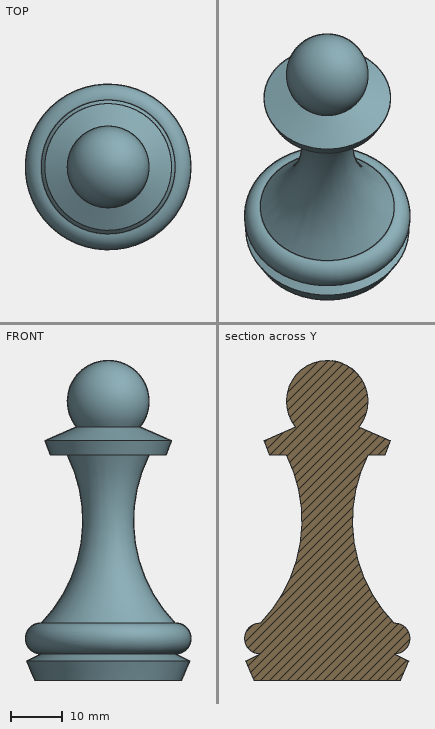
import cadquery as cq
import math

total_height = 61.7
base_rim_height = 3.75
ring_bottom = 5.1
ring_top = 11.1
waist_height = 31.8
collar_bottom = 43.45
collar_rim_height = 46.2
collar_top = 48.9

base_bottom_radius = 14.15
base_rim_radius = 15.75
ring_outer_radius = 16.0
stem_bottom_radius = 12.9
waist_radius = 4.95
stem_top_radius = 7.9
collar_bottom_radius = 11.2
collar_rim_radius = 12.2
head_radius = 7.9

ring_middle = (ring_bottom + ring_top) / 2
ring_round_center = ring_outer_radius - (ring_top - ring_bottom) / 2
head_center = total_height - head_radius
collar_top_radius = math.sqrt(head_radius**2 - (head_center - collar_top) ** 2)
head_equator = (head_radius, head_center)

profile = (
    cq.Workplane("XZ")
    .lineTo(base_bottom_radius, 0)
    .lineTo(base_rim_radius, base_rim_height)
    .lineTo(ring_round_center, ring_bottom)
    .threePointArc((ring_outer_radius, ring_middle), (ring_round_center, ring_top))
    .lineTo(stem_bottom_radius, ring_top)
    .threePointArc((waist_radius, waist_height), (stem_top_radius, collar_bottom))
    .lineTo(collar_bottom_radius, collar_bottom)
    .lineTo(collar_rim_radius, collar_rim_height)
    .lineTo(collar_top_radius, collar_top)
    .threePointArc(head_equator, (0, total_height))
    .close()
)

result = profile.revolve(360, (0, 0, 0), (0, 1, 0))